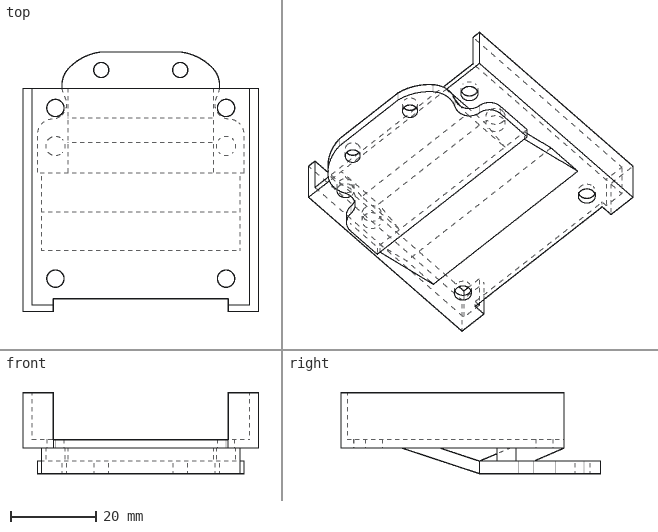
import math

import cadquery as cq

TRAY_WIDTH = 55.2
TRAY_HEIGHT = 13.0
TRAY_BOTTOM = 6.0
OVERALL_LENGTH = 60.88
LUG_OVERHANG = 8.55
TRAY_LENGTH = OVERALL_LENGTH - LUG_OVERHANG

FLOOR_THICKNESS = 2.0
SIDE_WALL = 2.1
FRONT_WALL = 1.6
FRONT_OPENING = 41.0
FLOOR_NOTCH_DEPTH = 3.0
NOTCH_END_RUN = 0.47
NOTCH_END_RADIUS = 3.0

FLOOR_HOLE_DIAMETER = 4.0
FLOOR_HOLE_SPACING = 40.0
FLOOR_HOLE_BACK_MARGIN = 4.6
FLOOR_HOLE_CENTER_Y = TRAY_LENGTH - FLOOR_HOLE_BACK_MARGIN - FLOOR_HOLE_SPACING / 2

LUG_THICKNESS = 3.0
LUG_WIDTH = 48.4
LUG_HALF_WIDTH = LUG_WIDTH / 2
LUG_LENGTH = 28.4
LUG_BACK_HALF_WIDTH = 9.45
BACK_CORNER_MIDDLE = (14.1, 1.6)
BACK_CORNER_END = (17.0, 3.94)
NECK_BULGE = (18.5, 7.8)
NECK_END = (17.8, 10.57)
SHOULDER_INFLECTION = (20.75, 15.75)
SHOULDER_END_OFFSET = 19.25
LUG_HOLE_DIAMETER = 3.5
LUG_HOLE_SPACING = 18.5
LUG_HOLE_OFFSET = 4.25

FRONT_STRUT_WIDTH = 46.6
BACK_STRUT_WIDTH = 34.0
STRUT_GAP = TRAY_BOTTOM - LUG_THICKNESS
FRONT_STRUT_SLOPE = 0.33
BACK_STRUT_SLOPE = 0.42
BACK_STRUT_LENGTH = 12.9

PIN_DIAMETER = 4.5
PIN_SPACING = FLOOR_HOLE_SPACING
PIN_OFFSET = 22.05


def from_back(offset):
    """Y position at a forward offset from the lug's back edge."""
    return OVERALL_LENGTH - offset


def box_between(x_size, y_min, y_max, z_min, z_max):
    """Block centred on X between the given Y and Z limits."""
    return (
        cq.Workplane("XY")
        .box(x_size, y_max - y_min, z_max - z_min, centered=(True, False, False))
        .translate((0, y_min, z_min))
    )


def make_front_notch():
    """Opening between the lips; the floor edge curves slightly back where it meets them."""
    half_opening = FRONT_OPENING / 2
    straight_half = half_opening - NOTCH_END_RUN
    end_drop = NOTCH_END_RADIUS - math.sqrt(NOTCH_END_RADIUS**2 - NOTCH_END_RUN**2)
    corner_y = FLOOR_NOTCH_DEPTH + end_drop
    return (
        cq.Workplane("XY", origin=(0, 0, TRAY_BOTTOM))
        .moveTo(-half_opening, 0)
        .lineTo(half_opening, 0)
        .lineTo(half_opening, corner_y)
        .radiusArc((straight_half, FLOOR_NOTCH_DEPTH), NOTCH_END_RADIUS)
        .lineTo(-straight_half, FLOOR_NOTCH_DEPTH)
        .radiusArc((-half_opening, corner_y), NOTCH_END_RADIUS)
        .close()
        .extrude(TRAY_HEIGHT)
    )


def make_tray():
    top = TRAY_BOTTOM + TRAY_HEIGHT
    floor_top = TRAY_BOTTOM + FLOOR_THICKNESS
    tray = box_between(TRAY_WIDTH, 0, TRAY_LENGTH, TRAY_BOTTOM, top)
    tray = tray.cut(box_between(TRAY_WIDTH - 2 * SIDE_WALL, FRONT_WALL, TRAY_LENGTH, floor_top, top))
    holes = (
        cq.Workplane("XY", origin=(0, FLOOR_HOLE_CENTER_Y, TRAY_BOTTOM))
        .rarray(FLOOR_HOLE_SPACING, FLOOR_HOLE_SPACING, 2, 2)
        .circle(FLOOR_HOLE_DIAMETER / 2)
        .extrude(FLOOR_THICKNESS)
    )
    return tray.cut(make_front_notch()).cut(holes)


def make_lug():
    def outline_point(point, side):
        half_width, offset = point
        return (side * half_width, from_back(offset))

    def half_lug(side):
        """Half of the lug on one side of the YZ plane: rounded back corner, neck and shoulder."""
        return (
            cq.Workplane("XY")
            .moveTo(0, from_back(0))
            .lineTo(side * LUG_BACK_HALF_WIDTH, from_back(0))
            .threePointArc(outline_point(BACK_CORNER_MIDDLE, side), outline_point(BACK_CORNER_END, side))
            .threePointArc(outline_point(NECK_BULGE, side), outline_point(NECK_END, side))
            .tangentArcPoint(outline_point(SHOULDER_INFLECTION, side), relative=False)
            .tangentArcPoint((side * LUG_HALF_WIDTH, from_back(SHOULDER_END_OFFSET)), relative=False)
            .lineTo(side * LUG_HALF_WIDTH, from_back(LUG_LENGTH))
            .lineTo(0, from_back(LUG_LENGTH))
            .close()
            .extrude(LUG_THICKNESS)
        )

    holes = (
        cq.Workplane("XY", origin=(0, from_back(LUG_HOLE_OFFSET), 0))
        .rarray(LUG_HOLE_SPACING, 1, 2, 1)
        .circle(LUG_HOLE_DIAMETER / 2)
        .extrude(LUG_THICKNESS)
    )
    return half_lug(-1).union(half_lug(1)).cut(holes)


def make_strut(width, profile):
    """Extrude a YZ profile symmetrically to the given width."""
    return cq.Workplane("YZ").polyline(profile).close().extrude(width / 2, both=True)


def make_front_strut():
    lug_front = from_back(LUG_LENGTH)
    return make_strut(FRONT_STRUT_WIDTH, [
        (lug_front, 0),
        (lug_front, LUG_THICKNESS),
        (lug_front - STRUT_GAP / FRONT_STRUT_SLOPE, TRAY_BOTTOM),
        (lug_front - TRAY_BOTTOM / FRONT_STRUT_SLOPE, TRAY_BOTTOM),
    ])


def make_back_strut():
    run = STRUT_GAP / BACK_STRUT_SLOPE
    lower_front = from_back(LUG_LENGTH)
    return make_strut(BACK_STRUT_WIDTH, [
        (lower_front, LUG_THICKNESS),
        (lower_front + BACK_STRUT_LENGTH, LUG_THICKNESS),
        (TRAY_LENGTH, TRAY_BOTTOM),
        (lower_front + run, TRAY_BOTTOM),
    ])


def make_pins():
    return (
        cq.Workplane("XY", origin=(0, from_back(PIN_OFFSET), LUG_THICKNESS))
        .rarray(PIN_SPACING, 1, 2, 1)
        .circle(PIN_DIAMETER / 2)
        .extrude(STRUT_GAP)
    )


result = make_tray().union(make_lug()).union(make_front_strut()).union(make_back_strut()).union(make_pins())